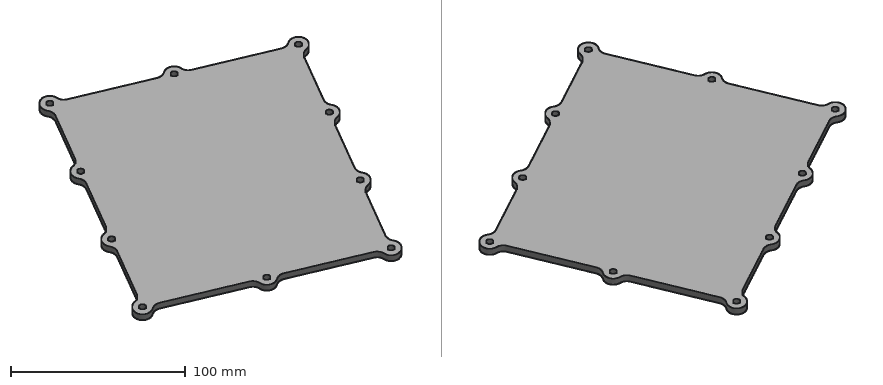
import cadquery as cq

length = 182.0
width = 162.0
thickness = 5.0
lug_radius = 6.0
blend_radius = lug_radius
hole_diameter = 4.2
bays_x = 3
bays_y = 2

plate_length = length - 2 * lug_radius
plate_width = width - 2 * lug_radius
half_length = plate_length / 2
half_width = plate_width / 2


def evenly_spaced(span, bays):
    """Positions that divide a centred span into equal bays, ends included."""
    return [span * (i / bays - 0.5) for i in range(bays + 1)]


def lug_sides(span, bays):
    """Positions along one side where the lug circles cross the straight edge."""
    centres = evenly_spaced(span, bays)
    starts = [centre + lug_radius for centre in centres[:-1]]
    ends = [centre - lug_radius for centre in centres[1:]]
    return starts + ends


lug_centres = []
for x in evenly_spaced(plate_length, bays_x):
    lug_centres += [(x, -half_width), (x, half_width)]
for y in evenly_spaced(plate_width, bays_y)[1:-1]:
    lug_centres += [(-half_length, y), (half_length, y)]

blend_corners = []
for x in lug_sides(plate_length, bays_x):
    blend_corners += [(x, -half_width), (x, half_width)]
for y in lug_sides(plate_width, bays_y):
    blend_corners += [(-half_length, y), (half_length, y)]


def lug_cylinders(radius):
    """Full-thickness cylinders at every lug centre."""
    return cq.Workplane("XY").pushPoints(lug_centres).circle(radius).extrude(thickness)


plate = cq.Workplane("XY").box(plate_length, plate_width, thickness, centered=(True, True, False))
body = plate.union(lug_cylinders(lug_radius))

vertical_edges = body.edges("|Z")
blend_edges = []
for x, y in blend_corners:
    nearest = cq.NearestToPointSelector((x, y, thickness / 2))
    blend_edges += nearest.filter(vertical_edges.vals())
body = body.newObject(blend_edges).fillet(blend_radius)

result = body.cut(lug_cylinders(hole_diameter / 2))